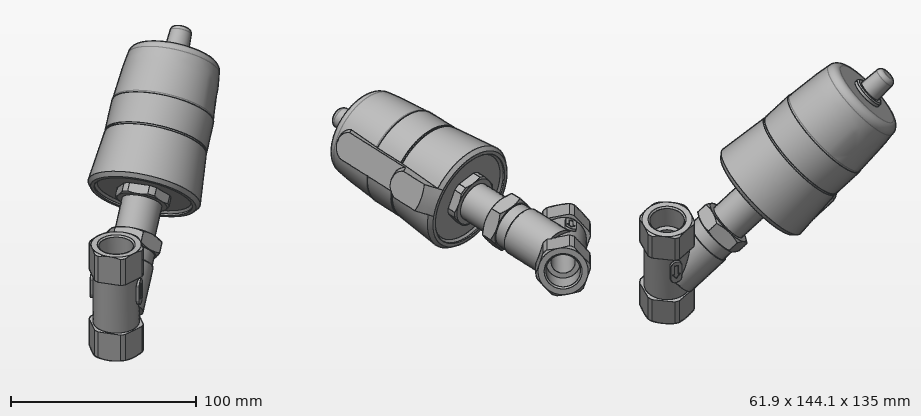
import cadquery as cq
import math


PIPE_LENGTH = 65.0
PIPE_DIA = 25.0
BORE_DIA = 13.0
THREAD_DIA = 18.63
THREAD_DEPTH = 14.0
THREAD_CHAMFER = 0.9
END_HEX_LENGTH = 17.0

HEX_FLATS = 27.0
HEX_CORNER_RATIO = 1 / math.cos(math.radians(30))
HEX_TRIM_DIA = 29.7
NUT_FLATS = 27.5
CHAMFER_ANGLE = 30.0

PAD_WIDTH = 6.2
PAD_LENGTH = 15.3
PAD_CENTER_Z = 5.25
PAD_HALF_SPAN = 13.75
ARROW_DEPTH = 0.3
ARROW_LENGTH = 9.2
ARROW_HEAD_LENGTH = 3.0
ARROW_HEAD_WIDTH = 4.4
ARROW_SHAFT_WIDTH = 2.2

TILT = 40.0
CROSSING_Z = -11.9

BRANCH_DIA = 27.5
BRANCH_START = 5.1
BRANCH_TOP = 30.6
COLLAR_DIA = 26.0
NUT_BOTTOM = 37.5
NUT_TOP = 46.1
NECK_DIA = 22.0
TOP_NUT_BOTTOM = 65.7

HOUSING_BOTTOM = 69.0
RIM_HEIGHT = 71.3
RIM_DIA = 61.91
RIM_BOTTOM_DIA = 58.2
BAND_BOTTOM = 100.2
BAND_TOP = 119.6
BAND_DIA = 56.2
GROOVE_WIDTH = 1.0
GROOVE_DEPTH = 0.3
SKIRT_BULGE = 0.3
CAP_DIA = 50.5
CAP_BULGE = 0.35
CAP_ROUND = 4.8
HOUSING_TOP = 150.9
RECESS_DIA = 54.2
RECESS_FLOOR_DIA = 51.7
RECESS_DEPTH = 2.2

FLANGE_DIA = 18.2
FLANGE_HEIGHT = 2.5
FLANGE_CHAMFER = 0.8
INDICATOR_BASE_DIA = 13.0
INDICATOR_TOP_DIA = 11.5
INDICATOR_TOP = 167.0
INDICATOR_ROUND = 2.8

LUG_WIDTH = 16.0
LUG_TIP_RADIUS = 8.5
LUG_TIP_SLOPE = 30.0
LUG_ROOT = 20.0
UPPER_LUG_REACH = 29.4
UPPER_LUG_TIP = 142.6
LOWER_LUG_REACH = 34.9
LOWER_LUG_TIP = 98.1
LUG_FOOT_SLOPE = 50.0


def hexagon(flats, bottom, top, trim_dia, chamfer_bottom, chamfer_top):
    """Hexagonal prism, corners along X, turned to trim_dia with chamfered ends."""
    prism = (
        cq.Workplane("XY", origin=(0, 0, bottom))
        .polygon(6, flats * HEX_CORNER_RATIO)
        .extrude(top - bottom)
    )
    radius = trim_dia / 2
    face_radius = flats / 2
    drop = (radius - face_radius) * math.tan(math.radians(CHAMFER_ANGLE))
    outline = [(0, bottom)]
    if chamfer_bottom:
        outline += [(face_radius, bottom), (radius, bottom + drop)]
    else:
        outline += [(radius, bottom)]
    if chamfer_top:
        outline += [(radius, top - drop), (face_radius, top)]
    else:
        outline += [(radius, top)]
    outline += [(0, top)]
    turned = cq.Workplane("XZ").polyline(outline).close().revolve(360, (0, 0), (0, 1))
    return prism.intersect(turned)


def cylinder(dia, bottom, top):
    """Upright cylinder on the Z axis."""
    return cq.Workplane("XY", origin=(0, 0, bottom)).circle(dia / 2).extrude(top - bottom)


def revolved(profile):
    """Full turn of an open half profile that starts and ends on the Z axis."""
    return profile.close().revolve(360, (0, 0), (0, 1))


def pipe_body():
    """Solid pipe with a hexagon at each end."""
    half = PIPE_LENGTH / 2
    body = cylinder(PIPE_DIA, -half, half)
    body = body.union(hexagon(HEX_FLATS, half - END_HEX_LENGTH, half, HEX_TRIM_DIA, False, True))
    return body.union(hexagon(HEX_FLATS, -half, END_HEX_LENGTH - half, HEX_TRIM_DIA, True, False))


def arrow_pad():
    """Raised slot with a recessed downward arrow, running through to both sides."""
    pad = (
        cq.Workplane("YZ", origin=(0, 0, PAD_CENTER_Z))
        .slot2D(PAD_LENGTH, PAD_WIDTH, 90)
        .extrude(PAD_HALF_SPAN, both=True)
    )
    tail = ARROW_LENGTH / 2
    neck = ARROW_HEAD_LENGTH - tail
    for side in (-1, 1):
        arrow = (
            cq.Workplane("YZ", origin=(side * PAD_HALF_SPAN, 0, PAD_CENTER_Z))
            .moveTo(0, -tail)
            .lineTo(ARROW_HEAD_WIDTH / 2, neck)
            .lineTo(ARROW_SHAFT_WIDTH / 2, neck)
            .lineTo(ARROW_SHAFT_WIDTH / 2, tail)
            .lineTo(-ARROW_SHAFT_WIDTH / 2, tail)
            .lineTo(-ARROW_SHAFT_WIDTH / 2, neck)
            .lineTo(-ARROW_HEAD_WIDTH / 2, neck)
            .close()
            .extrude(-side * ARROW_DEPTH)
        )
        pad = pad.cut(arrow)
    return pad


def pipe_bore():
    """Through bore with a chamfered thread bore at each end."""
    half = PIPE_LENGTH / 2
    thread_radius = THREAD_DIA / 2
    mouth_radius = thread_radius + THREAD_CHAMFER
    seat = half - THREAD_DEPTH
    profile = (
        cq.Workplane("XZ")
        .moveTo(0, -half)
        .lineTo(mouth_radius, -half)
        .lineTo(thread_radius, THREAD_CHAMFER - half)
        .lineTo(thread_radius, -seat)
        .lineTo(BORE_DIA / 2, -seat)
        .lineTo(BORE_DIA / 2, seat)
        .lineTo(thread_radius, seat)
        .lineTo(thread_radius, half - THREAD_CHAMFER)
        .lineTo(mouth_radius, half)
        .lineTo(0, half)
    )
    return revolved(profile)


def bonnet():
    """Branch, union nut, neck and the nut below the housing."""
    housing_floor = HOUSING_BOTTOM + RECESS_DEPTH
    nut_corner_dia = NUT_FLATS * HEX_CORNER_RATIO
    parts = cylinder(BRANCH_DIA, BRANCH_START, BRANCH_TOP)
    parts = parts.union(cylinder(COLLAR_DIA, BRANCH_TOP, NUT_BOTTOM))
    parts = parts.union(hexagon(NUT_FLATS, NUT_BOTTOM, NUT_TOP, nut_corner_dia, True, True))
    parts = parts.union(cylinder(NECK_DIA, NUT_TOP, housing_floor))
    return parts.union(
        hexagon(NUT_FLATS, TOP_NUT_BOTTOM, housing_floor, HEX_TRIM_DIA, True, False)
    )


def housing():
    """Flared skirt, grooved band and domed cap, hollowed by a shallow recess below."""
    band = BAND_DIA / 2
    groove = band - GROOVE_DEPTH
    rim = RIM_DIA / 2
    cap = CAP_DIA / 2
    cap_top = HOUSING_TOP - CAP_ROUND
    round_offset = CAP_ROUND * (1 - math.sqrt(0.5))
    recess_round = (RECESS_DIA - RECESS_FLOOR_DIA) / 2
    recess_floor = HOUSING_BOTTOM + RECESS_DEPTH
    profile = (
        cq.Workplane("XZ")
        .moveTo(0, recess_floor)
        .lineTo(RECESS_FLOOR_DIA / 2, recess_floor)
        .lineTo(RECESS_DIA / 2, recess_floor - recess_round)
        .lineTo(RECESS_DIA / 2, HOUSING_BOTTOM)
        .lineTo(RIM_BOTTOM_DIA / 2, HOUSING_BOTTOM)
        .lineTo(rim, RIM_HEIGHT)
        .threePointArc(
            ((rim + band) / 2 - SKIRT_BULGE, (RIM_HEIGHT + BAND_BOTTOM) / 2), (band, BAND_BOTTOM)
        )
        .lineTo(groove, BAND_BOTTOM)
        .lineTo(groove, BAND_BOTTOM + GROOVE_WIDTH)
        .lineTo(band, BAND_BOTTOM + GROOVE_WIDTH)
        .lineTo(band, BAND_TOP - GROOVE_WIDTH)
        .lineTo(groove, BAND_TOP - GROOVE_WIDTH)
        .lineTo(groove, BAND_TOP)
        .threePointArc(
            ((groove + cap) / 2 + CAP_BULGE, (BAND_TOP + cap_top) / 2), (cap, cap_top)
        )
        .threePointArc(
            (cap - round_offset, HOUSING_TOP - round_offset), (cap - CAP_ROUND, HOUSING_TOP)
        )
        .lineTo(0, HOUSING_TOP)
    )
    return revolved(profile)


def indicator():
    """Chamfered flange carrying a tapered plug with a rounded tip."""
    flange_top = HOUSING_TOP + FLANGE_HEIGHT
    flange = cylinder(FLANGE_DIA, HOUSING_TOP, flange_top)
    flange = flange.faces(">Z").edges().chamfer(FLANGE_CHAMFER)
    plug = revolved(
        cq.Workplane("XZ")
        .moveTo(0, HOUSING_TOP)
        .lineTo(INDICATOR_BASE_DIA / 2, flange_top)
        .lineTo(INDICATOR_TOP_DIA / 2, INDICATOR_TOP)
        .lineTo(0, INDICATOR_TOP)
    )
    return flange.union(plug.faces(">Z").edges().fillet(INDICATOR_ROUND))


def lug(reach, tip):
    """Flat-sided bar along the lower side of the housing, with a rounded leaning tip.

    reach is the distance of its outer face from the axis, tip the height of its end there.
    """
    half_width = LUG_WIDTH / 2
    sagitta = LUG_TIP_RADIUS - math.sqrt(LUG_TIP_RADIUS**2 - half_width**2)
    depth = reach - LUG_ROOT
    lean = depth * math.tan(math.radians(LUG_TIP_SLOPE))
    root_tip = tip + lean
    outline = (
        cq.Workplane("XZ", origin=(0, LUG_ROOT, 0))
        .moveTo(-half_width, HOUSING_BOTTOM)
        .lineTo(-half_width, root_tip - sagitta)
        .threePointArc((0, root_tip), (half_width, root_tip - sagitta))
        .lineTo(half_width, HOUSING_BOTTOM)
        .close()
        .wire()
        .val()
    )
    bar = cq.Solid.extrudeLinear(outline, [], cq.Vector(0, depth, -lean))
    foot_radius = RIM_BOTTOM_DIA / 2
    rise = tip - HOUSING_BOTTOM
    spread = rise / math.tan(math.radians(LUG_FOOT_SLOPE))
    foot_cone = revolved(
        cq.Workplane("XZ")
        .moveTo(0, HOUSING_BOTTOM + RECESS_DEPTH)
        .lineTo(RECESS_DIA / 2, HOUSING_BOTTOM + RECESS_DEPTH)
        .lineTo(RECESS_DIA / 2, HOUSING_BOTTOM)
        .lineTo(foot_radius, HOUSING_BOTTOM)
        .lineTo(foot_radius + spread, tip)
        .lineTo(foot_radius + spread, root_tip)
        .lineTo(0, root_tip)
    )
    return foot_cone.intersect(cq.Workplane(bar))


def tilted(shape):
    """Moves a shape from the upright actuator frame to the inclined axis."""
    return shape.rotate((0, 0, 0), (1, 0, 0), TILT - 90).translate((0, 0, CROSSING_Z))


actuator = bonnet().union(housing()).union(indicator())
actuator = actuator.union(lug(UPPER_LUG_REACH, UPPER_LUG_TIP))
actuator = actuator.union(lug(LOWER_LUG_REACH, LOWER_LUG_TIP))

result = pipe_body().union(arrow_pad()).union(tilted(actuator)).cut(pipe_bore())